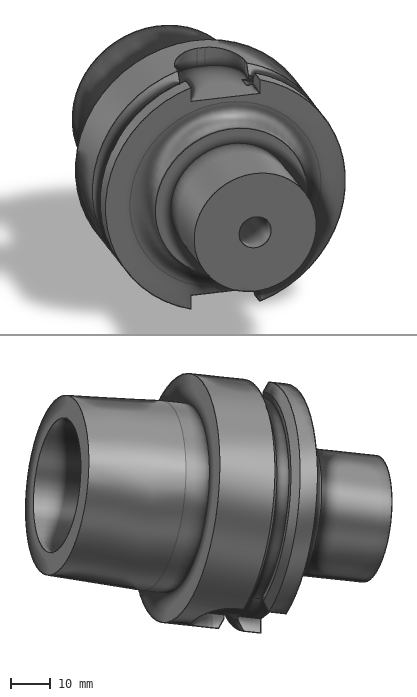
import cadquery as cq
import math

TAPER_END = 25.6
FLANGE_START = 31.9
GROOVE_START = 48.2
GROOVE_WIDTH = 3.8
LIP_CHAMFER_LENGTH = 1.5
FLANGE_END = 58.1
COLLAR_END = 63.5
TOTAL_LENGTH = 83.9

MOUTH_RADIUS = 22.7
SHANK_RADIUS = 24.0
FLANGE_DIAMETER = 63.0
FLANGE_RADIUS = FLANGE_DIAMETER / 2
LIP_CHAMFER_DROP = 2.6
GROOVE_RADIUS = 27.4
COLLAR_RADIUS = 20.05
COVE_RADIUS = 5.0
SPIGOT_RADIUS = 16.0

BORE_RADIUS = 17.0
BORE_DEPTH = FLANGE_START
THROUGH_HOLE_RADIUS = 4.2

SLOT_START = 36.9
SLOT_WIDTH = 18.0
SLOT_CORNER_RADIUS = 8.0
SLOT_FLOOR = 26.4


def turned_body():
    """Revolve the outer profile about the X axis."""
    groove_end = GROOVE_START + GROOVE_WIDTH
    lip_radius = FLANGE_RADIUS - LIP_CHAMFER_DROP
    cove_end = FLANGE_END + COVE_RADIUS
    cove_top = COLLAR_RADIUS + COVE_RADIUS
    cove_reach = COVE_RADIUS * math.sqrt(0.5)
    profile = (
        cq.Workplane("XY")
        .lineTo(0, MOUTH_RADIUS)
        .lineTo(TAPER_END, SHANK_RADIUS)
        .lineTo(FLANGE_START, SHANK_RADIUS)
        .lineTo(FLANGE_START, FLANGE_RADIUS)
        .lineTo(GROOVE_START - LIP_CHAMFER_LENGTH, FLANGE_RADIUS)
        .lineTo(GROOVE_START, lip_radius)
        .lineTo(GROOVE_START, GROOVE_RADIUS)
        .lineTo(groove_end, GROOVE_RADIUS)
        .lineTo(groove_end, lip_radius)
        .lineTo(groove_end + LIP_CHAMFER_LENGTH, FLANGE_RADIUS)
        .lineTo(FLANGE_END, FLANGE_RADIUS)
        .lineTo(FLANGE_END, cove_top)
        .threePointArc((cove_end - cove_reach, cove_top - cove_reach), (cove_end, COLLAR_RADIUS))
        .lineTo(COLLAR_END, COLLAR_RADIUS)
        .lineTo(COLLAR_END, SPIGOT_RADIUS)
        .lineTo(TOTAL_LENGTH, SPIGOT_RADIUS)
        .lineTo(TOTAL_LENGTH, 0)
        .close()
    )
    return profile.revolve(360, (0, 0, 0), (1, 0, 0))


def bore_cutter():
    """Wide bore from the mouth, followed by a through hole."""
    mouth_plane = cq.Workplane("YZ")
    wide_bore = mouth_plane.circle(BORE_RADIUS).extrude(BORE_DEPTH)
    through_hole = mouth_plane.circle(THROUGH_HOLE_RADIUS).extrude(TOTAL_LENGTH)
    return wide_bore.union(through_hole)


def key_slot_cutter():
    """Flat-floored slot with a rounded blind end, open at the back of the flange."""
    return (
        cq.Workplane("XY", origin=(FLANGE_END, 0, SLOT_FLOOR))
        .rect(2 * (FLANGE_END - SLOT_START), SLOT_WIDTH)
        .extrude(FLANGE_RADIUS - SLOT_FLOOR)
        .edges("|Z and <X")
        .fillet(SLOT_CORNER_RADIUS)
    )


result = turned_body().cut(bore_cutter())
for slot_angle in (0, 180):
    result = result.cut(key_slot_cutter().rotate((0, 0, 0), (1, 0, 0), slot_angle))